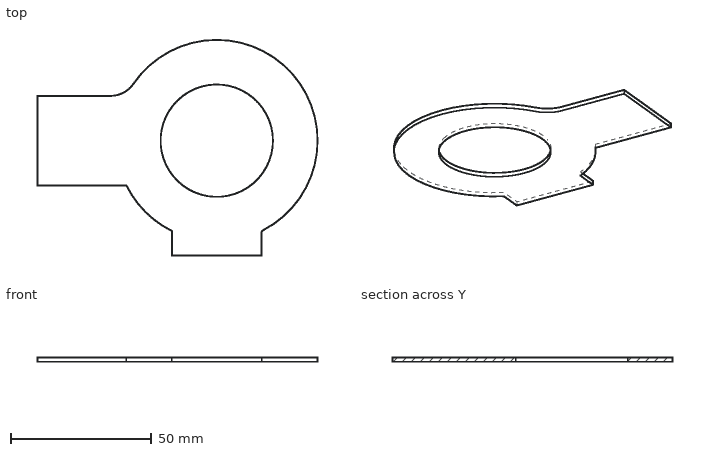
import cadquery as cq

thickness = 1.6
ring_diameter = 72.0
bore_diameter = 40.0
tab_width = 32.0
long_tab_reach = 64.0
short_tab_reach = 41.0
long_tab_fillet = 10.0
short_tab_fillet = 1.0


def make_ring():
    return cq.Workplane("XY").circle(ring_diameter / 2).extrude(thickness)


def make_long_tab():
    return (
        cq.Workplane("XY")
        .center(-long_tab_reach / 2, 0)
        .rect(long_tab_reach, tab_width)
        .extrude(thickness)
    )


def make_short_tab():
    return (
        cq.Workplane("XY")
        .center(0, -short_tab_reach / 2)
        .rect(tab_width, short_tab_reach)
        .extrude(thickness)
    )


def fillet_corner(body, x, y, radius):
    """Round the upright edge of the plate nearest to (x, y)."""
    corner = cq.selectors.NearestToPointSelector((x, y, thickness / 2))
    return body.edges("|Z").edges(corner).fillet(radius)


half_tab = tab_width / 2
tab_root = ((ring_diameter / 2) ** 2 - half_tab**2) ** 0.5

plate = make_ring().union(make_long_tab()).union(make_short_tab())

plate = fillet_corner(plate, -tab_root, half_tab, long_tab_fillet)
plate = fillet_corner(plate, half_tab, -tab_root, short_tab_fillet)

result = plate.cut(cq.Workplane("XY").circle(bore_diameter / 2).extrude(thickness))